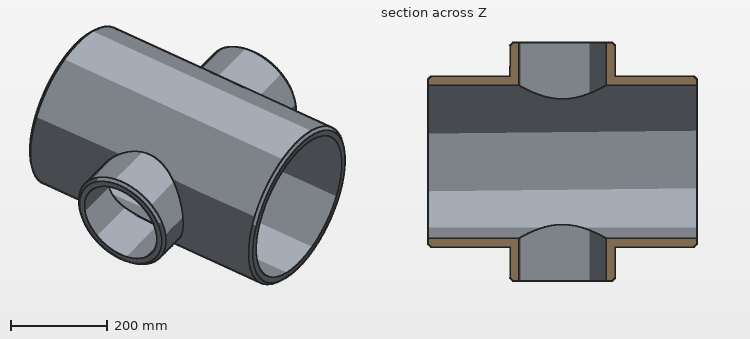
import cadquery as cq

run_length = 558.8
run_diameter = 355.6

branch_span = 495.3
branch_diameter = 219.1

wall = 19.05
bevel = 6.35


def centred_cylinder(plane_name, diameter, length):
    """Solid cylinder centred on the origin, along the normal of the named plane."""
    return cq.Workplane(plane_name).circle(diameter / 2).extrude(length / 2, both=True)


def bevelled_bar(plane_name, diameter, length):
    """Centred cylinder with the circular edge at each end chamfered."""
    return centred_cylinder(plane_name, diameter, length).edges("%CIRCLE").chamfer(bevel)


def bore(plane_name, outer_diameter, length):
    """Full-length cylinder that leaves the wall thickness inside the outer diameter."""
    return centred_cylinder(plane_name, outer_diameter - 2 * wall, length)


run = bevelled_bar("YZ", run_diameter, run_length)
branches = bevelled_bar("XZ", branch_diameter, branch_span)
body = run.union(branches)

run_bore = bore("YZ", run_diameter, run_length)
branch_bore = bore("XZ", branch_diameter, branch_span)

result = body.cut(run_bore).cut(branch_bore)